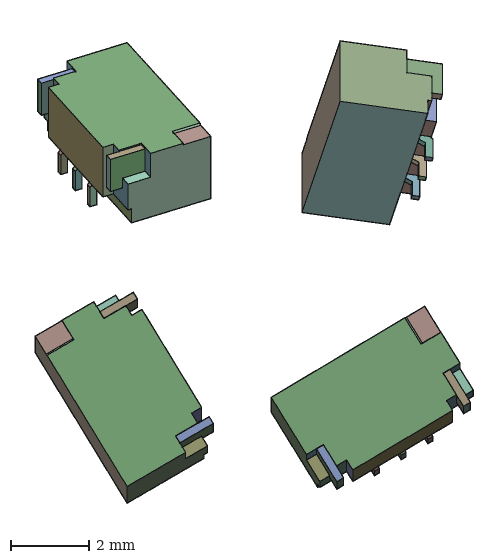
import cadquery as cq

length = 4.6
depth = 2.75
height = 2.25
foot_drop = 0.245
skirt_height = 0.44
back = depth
front = 0.0
shoulder_y = 0.35
nose_y = 0.045
nose_width = 2.99
skirt_y = 0.45
skirt_top = foot_drop + skirt_height

tab_thickness = 0.205
tab_inset = 0.3
tab_top_gap = 0.045
tab_height = 1.01
pocket_depth = 0.75
pocket_back_y = 1.005

pin_count = 3
pin_pitch = 0.8
pin_width = 0.145
pin_thickness = 0.2
pin_back_y = 0.405
pin_bevel = 0.08
pin_back_height = 0.125
pin_bend_drop = 0.23

marker_length = 0.55
marker_width = 0.8
marker_depth = 0.045
marker_slope = 0.045


def box(x_min, x_max, y_min, y_max, z_min, z_max):
    return cq.Workplane("XY").box(
        x_max - x_min, y_max - y_min, z_max - z_min, centered=False
    ).translate((x_min, y_min, z_min))


def make_housing():
    end = length / 2
    skirt = box(-end, end, skirt_y, back, foot_drop, skirt_top)
    upper = box(-end, end, shoulder_y, back, skirt_top, height)
    nose = box(-nose_width / 2, nose_width / 2, nose_y, shoulder_y, skirt_top, height)
    return skirt.union(upper).union(nose)


def make_marker_recess():
    end = length / 2
    floor_x = end - marker_length
    floor_z = height - marker_depth
    return (
        cq.Workplane("XZ", origin=(0, back, 0))
        .polyline([
            (floor_x - marker_slope, height),
            (floor_x, floor_z),
            (end, floor_z),
            (end, height),
        ])
        .close()
        .extrude(marker_width)
    )


def make_pocket(side):
    outer = side * length / 2
    inner = side * (length / 2 - tab_inset - tab_thickness)
    return box(
        min(outer, inner), max(outer, inner),
        shoulder_y, pocket_back_y, height - pocket_depth, height,
    )


def make_tab(side):
    outer = side * (length / 2 - tab_inset)
    inner = outer - side * tab_thickness
    tab_top = height - tab_top_gap
    x_min = min(outer, inner)
    x_max = max(outer, inner)
    tab_bottom = tab_top - tab_height
    pocket_floor = height - pocket_depth
    plate = box(x_min, x_max, front, pocket_back_y, pocket_floor, tab_top)
    leg = box(x_min, x_max, front, shoulder_y, tab_bottom, pocket_floor)
    return plate.union(leg)


def make_pin(center_x):
    return (
        cq.Workplane("YZ", origin=(center_x - pin_width / 2, 0, 0))
        .polyline([
            (front, 0),
            (front, skirt_top - pin_bevel),
            (front + pin_bevel, skirt_top),
            (pin_back_y, skirt_top),
            (pin_back_y, skirt_top - pin_back_height),
            (pin_thickness, skirt_top - pin_bend_drop),
            (pin_thickness, 0),
        ])
        .close()
        .extrude(pin_width)
    )


result = make_housing().cut(make_marker_recess())
for side in (-1, 1):
    result = result.cut(make_pocket(side)).union(make_tab(side))
for index in range(pin_count):
    offset = index - (pin_count - 1) / 2
    result = result.union(make_pin(offset * pin_pitch))